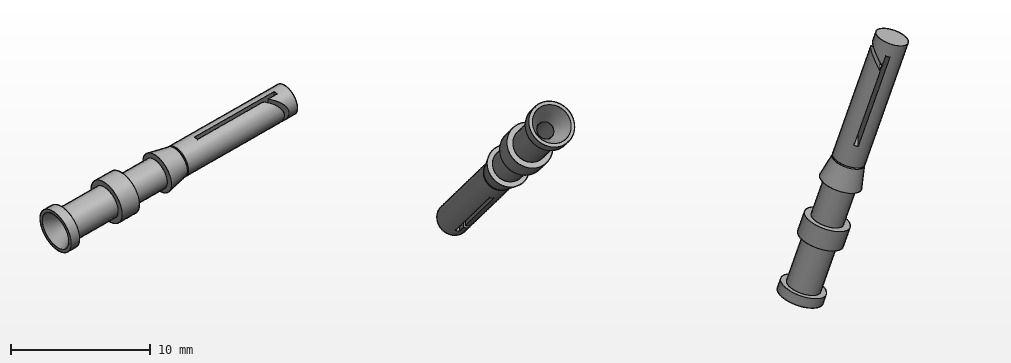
import cadquery as cq

total_length = 21.6
rim_end = 0.8
barrel_end = 4.77
collar_end = 6.4
neck_end = 9.42
cone_start = 9.5
cone_end = 11.3
sleeve_start = 11.4

flange_radius = 1.739
barrel_radius = 1.3
shank_radius = 1.23
cone_radius = 1.6
groove_radius = 0.9

funnel_radius = 1.47
bore_radius = 0.65
funnel_depth = 1.43
bore_depth = 4.0
drill_tip_depth = 0.37

slot_width = 0.32
slot_start = 13.13
slot_end = 20.58
outlet_width = 0.3
outlet_y = 19.35
outlet_angle = 45.0
outlet_length = 4 * shank_radius
cut_height = 2 * flange_radius


def revolve_profile(points):
    """Close a (radius, y) outline and turn it about the Y axis."""
    return cq.Workplane("XY").polyline(points).close().revolve(360, (0, 0, 0), (0, 1, 0))


def make_body():
    return revolve_profile([
        (0, 0),
        (flange_radius, 0),
        (flange_radius, rim_end),
        (barrel_radius, rim_end),
        (barrel_radius, barrel_end),
        (flange_radius, barrel_end),
        (flange_radius, collar_end),
        (shank_radius, collar_end),
        (shank_radius, neck_end),
        (groove_radius, neck_end),
        (groove_radius, cone_start),
        (cone_radius, cone_start),
        (shank_radius, cone_end),
        (groove_radius, cone_end),
        (groove_radius, sleeve_start),
        (shank_radius, sleeve_start),
        (shank_radius, total_length),
        (0, total_length),
    ])


def make_wire_bore():
    return revolve_profile([
        (0, 0),
        (funnel_radius, 0),
        (bore_radius, funnel_depth),
        (bore_radius, bore_depth),
        (0, bore_depth + drill_tip_depth),
    ])


def make_slot():
    slot_length = slot_end - slot_start
    return (
        cq.Workplane("XY")
        .box(slot_width, slot_length, cut_height)
        .translate((0, slot_start + slot_length / 2, 0))
    )


def make_outlet():
    """Diagonal cut from the slot out through the +X side."""
    return (
        cq.Workplane("XY")
        .box(outlet_length, outlet_width, cut_height, centered=(False, True, True))
        .rotate((0, 0, 0), (0, 0, 1), outlet_angle)
        .translate((0, outlet_y, 0))
    )


result = make_body().cut(make_wire_bore()).cut(make_slot()).cut(make_outlet())